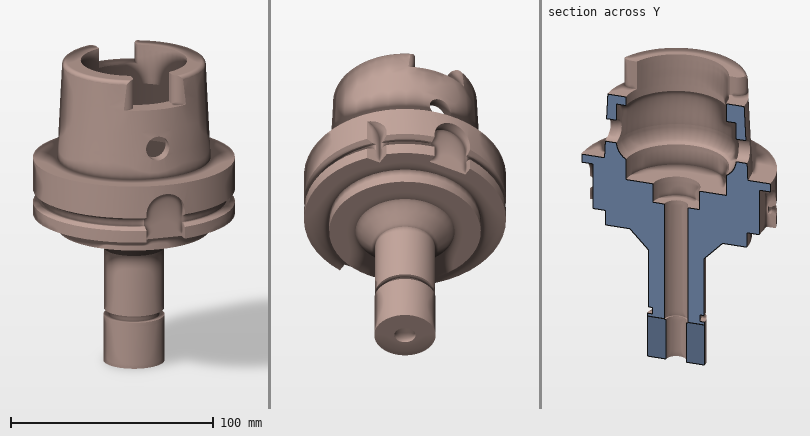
import cadquery as cq
import math


TOTAL_LENGTH = 155.0
SHANK_HEIGHT = 50.0
NUT_BOTTOM = SHANK_HEIGHT - TOTAL_LENGTH

SHANK_BASE_RADIUS = 38.0
SHANK_TAPER = 0.05
SHANK_TOP_RADIUS = SHANK_BASE_RADIUS - SHANK_TAPER * SHANK_HEIGHT
SHANK_RIM_FILLET = 2.2

FLANGE_DIAMETER = 100.0
FLANGE_RADIUS = FLANGE_DIAMETER / 2
FLANGE_BOTTOM = -29.0
GROOVE_RADIUS = 46.0
GROOVE_TOP = -17.8
GROOVE_BOTTOM = -21.5
GROOVE_BEVEL_WIDTH = 2.5
GROOVE_BEVEL_HEIGHT = 1.4
GROOVE_LIP_RADIUS = FLANGE_RADIUS - GROOVE_BEVEL_WIDTH

SPIGOT_RADIUS = 37.5
SPIGOT_BOTTOM = -36.9
CONE_TOP_RADIUS = 24.5
NOSE_RADIUS = 14.9
CONE_BOTTOM = -46.7
NECK_RADIUS = 12.5
NECK_TOP = -78.0
COLLAR_TOP = -81.2
NUT_TOP = -83.1
NUT_RADIUS = 15.2

BORE_RADIUS = 26.4
BORE_FLOOR = -10.0
CHAMBER_RADIUS = 31.5
CHAMBER_TOP = 30.0
CHAMBER_ROUND_START = 9.6
CHAMBER_ROUND = 10.0

RECESS_RADIUS = 12.1
RECESS_DEPTH = 10.0
HOLDER_BORE_RADIUS = 6.0
NUT_BORE_RADIUS = 5.3

ACCESS_HOLE_RADIUS = 6.0
ACCESS_HOLE_HEIGHT = 15.2

SLOT_WIDTH = 20.0
SLOT_HALF_WIDTH = SLOT_WIDTH / 2
DRIVE_SLOT_DEPTHS = {-1: 10.0, 1: 15.0}
DRIVE_SLOT_FLAT = 32.4
DRIVE_SLOT_ROUND = 4.8
FLANGE_SLOT_TOP = -4.6
FLANGE_SLOT_FLOOR = 44.0
NOTCH_FLOOR = 31.6
NOTCH_EDGE = 31.5
NOTCH_CENTER = NOTCH_EDGE + SLOT_HALF_WIDTH

CLEARANCE = 3.1


def cylinder(radius, bottom, top):
    return cq.Workplane("XY").workplane(offset=bottom).circle(radius).extrude(top - bottom)


def holder_blank():
    """Outer shape of the holder, solid, with its rounded shank rim."""
    outline = [
        (0, SHANK_HEIGHT),
        (SHANK_TOP_RADIUS, SHANK_HEIGHT),
        (SHANK_BASE_RADIUS, 0),
        (FLANGE_RADIUS, 0),
        (FLANGE_RADIUS, GROOVE_TOP + GROOVE_BEVEL_HEIGHT),
        (GROOVE_LIP_RADIUS, GROOVE_TOP),
        (GROOVE_RADIUS, GROOVE_TOP),
        (GROOVE_RADIUS, GROOVE_BOTTOM),
        (GROOVE_LIP_RADIUS, GROOVE_BOTTOM),
        (FLANGE_RADIUS, GROOVE_BOTTOM - GROOVE_BEVEL_HEIGHT),
        (FLANGE_RADIUS, FLANGE_BOTTOM),
        (SPIGOT_RADIUS, FLANGE_BOTTOM),
        (SPIGOT_RADIUS, SPIGOT_BOTTOM),
        (CONE_TOP_RADIUS, SPIGOT_BOTTOM),
        (NOSE_RADIUS, CONE_BOTTOM),
        (NOSE_RADIUS, NECK_TOP),
        (NECK_RADIUS, NECK_TOP),
        (NECK_RADIUS, COLLAR_TOP),
        (NUT_RADIUS, COLLAR_TOP),
        (NUT_RADIUS, NUT_TOP),
        (0, NUT_TOP),
    ]
    blank = cq.Workplane("XZ").polyline(outline).close().revolve(360, (0, 0), (0, 1))
    return blank.faces(">Z").edges().fillet(SHANK_RIM_FILLET)


def clamping_bore():
    """Straight bore and its chamber, as a cutting tool.

    The chamber wall runs into a round that closes in on the straight bore.
    """
    sweep = math.acos(1 - (CHAMBER_RADIUS - BORE_RADIUS) / CHAMBER_ROUND)
    round_center = CHAMBER_RADIUS - CHAMBER_ROUND

    def round_point(angle):
        radius = round_center + CHAMBER_ROUND * math.cos(angle)
        return radius, CHAMBER_ROUND_START - CHAMBER_ROUND * math.sin(angle)

    chamber = (
        cq.Workplane("XZ")
        .moveTo(0, CHAMBER_TOP)
        .lineTo(CHAMBER_RADIUS, CHAMBER_TOP)
        .lineTo(CHAMBER_RADIUS, CHAMBER_ROUND_START)
        .threePointArc(round_point(sweep / 2), round_point(sweep))
        .lineTo(0, round_point(sweep)[1])
        .close()
        .revolve(360, (0, 0), (0, 1))
    )
    return chamber.union(cylinder(BORE_RADIUS, BORE_FLOOR, SHANK_HEIGHT + CLEARANCE))


def coolant_passage():
    """Stepped passage from the bore floor down through the nose."""
    recess = cylinder(RECESS_RADIUS, BORE_FLOOR - RECESS_DEPTH, BORE_FLOOR)
    return recess.union(cylinder(HOLDER_BORE_RADIUS, NUT_TOP, BORE_FLOOR))


def access_hole():
    return (
        cq.Workplane("YZ")
        .center(0, ACCESS_HOLE_HEIGHT)
        .circle(ACCESS_HOLE_RADIUS)
        .extrude(FLANGE_RADIUS, both=True)
    )


def drive_slot(side, depth):
    """Slot in the shank end whose corners round out into flats across the prongs."""
    outer_x = side * (SHANK_BASE_RADIUS + CLEARANCE)
    outer_y = SHANK_TOP_RADIUS
    flat_x = side * DRIVE_SLOT_FLAT
    round_x = side * (DRIVE_SLOT_FLAT - DRIVE_SLOT_ROUND)
    round_y = SLOT_HALF_WIDTH + DRIVE_SLOT_ROUND
    plan = (
        cq.Workplane("XY")
        .workplane(offset=SHANK_HEIGHT - depth)
        .moveTo(0, -SLOT_HALF_WIDTH)
        .lineTo(round_x, -SLOT_HALF_WIDTH)
        .radiusArc((flat_x, -round_y), side * DRIVE_SLOT_ROUND)
        .lineTo(flat_x, -outer_y)
        .lineTo(outer_x, -outer_y)
        .lineTo(outer_x, outer_y)
        .lineTo(flat_x, outer_y)
        .lineTo(flat_x, round_y)
        .radiusArc((round_x, SLOT_HALF_WIDTH), side * DRIVE_SLOT_ROUND)
        .lineTo(0, SLOT_HALF_WIDTH)
        .close()
    )
    return plan.extrude(depth + CLEARANCE)


def flange_slot(side, floor, center_y):
    """Round-topped slot cut inwards along X to a flat floor, open below the flange."""
    arc_z = FLANGE_SLOT_TOP - SLOT_HALF_WIDTH
    profile = (
        cq.Workplane("YZ", origin=(side * floor, center_y, 0))
        .moveTo(-SLOT_HALF_WIDTH, FLANGE_BOTTOM)
        .lineTo(-SLOT_HALF_WIDTH, arc_z)
        .threePointArc((0, FLANGE_SLOT_TOP), (SLOT_HALF_WIDTH, arc_z))
        .lineTo(SLOT_HALF_WIDTH, FLANGE_BOTTOM)
        .close()
    )
    return profile.extrude(side * (FLANGE_RADIUS + CLEARANCE - floor))


def make_holder():
    holder = holder_blank()
    holder = holder.cut(clamping_bore()).cut(coolant_passage()).cut(access_hole())
    for side, depth in DRIVE_SLOT_DEPTHS.items():
        holder = holder.cut(drive_slot(side, depth))
        holder = holder.cut(flange_slot(side, FLANGE_SLOT_FLOOR, 0))
    return holder.cut(flange_slot(-1, NOTCH_FLOOR, NOTCH_CENTER))


def make_nut():
    nut = cylinder(NUT_RADIUS, NUT_BOTTOM, NUT_TOP)
    return nut.cut(cylinder(NUT_BORE_RADIUS, NUT_BOTTOM, NUT_TOP))


holder = make_holder()
nut = make_nut()

result = cq.Compound.makeCompound([holder.val(), nut.val()])